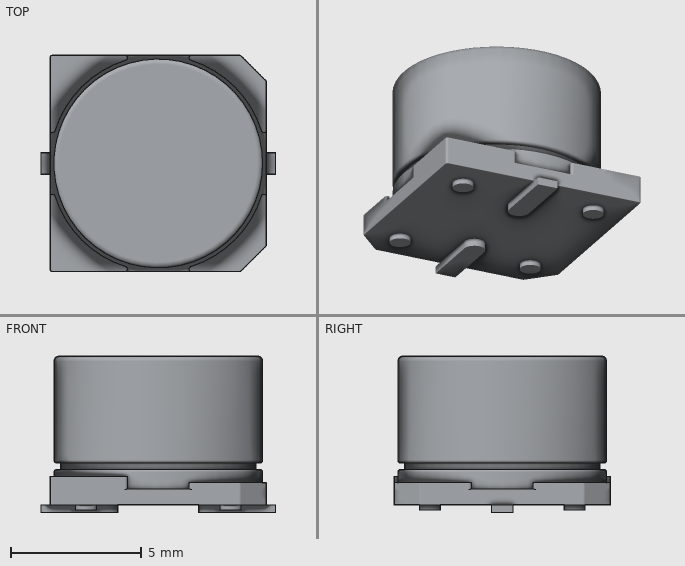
import cadquery as cq
import math

can_radius = 8.0 / 2
groove_radius = 7.5 / 2
total_height = 6.0
top_fillet = 0.2
lip_fillet = 0.1
groove_bottom = 1.66
groove_top = 1.91

base_side = 8.3
half_side = base_side / 2
base_bottom = 0.3
floor_height = 0.9
low_corner_top = 1.15
high_corner_top = 1.395
corner_cut = 1.0
vertical_fillet = 0.1
edge_fillet = 0.02
pocket_radius = half_side
tip_radius = 0.1
wall_bottom = base_bottom + edge_fillet

terminal_reach = 4.5
terminal_inner_end = 1.55
terminal_width = 0.84
post_diameter = 0.8
post_offset = 2.77
post_bottom = 0.1


def base_outline(bottom, top):
    """Square block with cut +X corners and softened vertical edges."""
    block = cq.Workplane("XY", origin=(0, 0, bottom))
    block = block.rect(base_side, base_side).extrude(top - bottom)
    block = block.edges("|Z and >X").chamfer(corner_cut)
    return block.edges("|Z").fillet(vertical_fillet)


def raised_corner(x_sign, y_sign, top):
    """Corner wall around the can, with a round tip where it meets each side."""
    tip_depth = half_side - tip_radius
    tip_center = math.sqrt((pocket_radius + tip_radius) ** 2 - tip_depth**2)
    touch_scale = pocket_radius / (pocket_radius + tip_radius)
    touch_near = tip_center * touch_scale
    touch_far = tip_depth * touch_scale
    pocket_mid = pocket_radius / math.sqrt(2)
    tip_end = tip_center - tip_radius

    def place(x, y):
        return (x_sign * x, y_sign * y)

    wall = (
        cq.Workplane("XY", origin=(0, 0, wall_bottom))
        .moveTo(*place(tip_center, half_side))
        .lineTo(*place(half_side, half_side))
        .lineTo(*place(half_side, tip_center))
        .threePointArc(place(tip_depth, tip_end), place(touch_far, touch_near))
        .threePointArc(place(pocket_mid, pocket_mid), place(touch_near, touch_far))
        .threePointArc(place(tip_end, tip_depth), place(tip_center, half_side))
        .close()
        .extrude(top - wall_bottom)
    )
    wall = wall.intersect(base_outline(wall_bottom, top))
    return wall.faces(">Z").edges().fillet(edge_fillet)


def moulded_base():
    """Plate with four corner walls; the corners on the +X side are lower."""
    base = base_outline(base_bottom, floor_height)
    base = base.faces("<Z or >Z").edges().fillet(edge_fillet)
    for x_sign, top in ((-1, high_corner_top), (1, low_corner_top)):
        for y_sign in (-1, 1):
            base = base.union(raised_corner(x_sign, y_sign, top))
    return base


def can_section(radius, bottom, top):
    return cq.Workplane("XY", origin=(0, 0, bottom)).circle(radius).extrude(top - bottom)


def can():
    """Rounded can with a crimp groove above its bottom flange."""
    flange = can_section(can_radius, wall_bottom, groove_bottom).edges(">Z").fillet(lip_fillet)
    neck = can_section(groove_radius, groove_bottom, groove_top)
    body = can_section(can_radius, groove_top, total_height)
    body = body.edges(">Z").fillet(top_fillet).edges("<Z").fillet(lip_fillet)
    return flange.union(neck).union(body)


def terminal(x_sign):
    """Flat lead with a half-round inner end."""
    half_width = terminal_width / 2
    straight_end = terminal_inner_end + half_width
    return (
        cq.Workplane("XY")
        .moveTo(x_sign * terminal_reach, half_width)
        .lineTo(x_sign * straight_end, half_width)
        .threePointArc((x_sign * terminal_inner_end, 0), (x_sign * straight_end, -half_width))
        .lineTo(x_sign * terminal_reach, -half_width)
        .close()
        .extrude(base_bottom)
    )


def posts():
    return (
        cq.Workplane("XY", origin=(0, 0, post_bottom))
        .rect(2 * post_offset, 2 * post_offset, forConstruction=True)
        .vertices()
        .circle(post_diameter / 2)
        .extrude(base_bottom - post_bottom)
    )


result = moulded_base().union(can()).union(posts())
for side in (-1, 1):
    result = result.union(terminal(side))